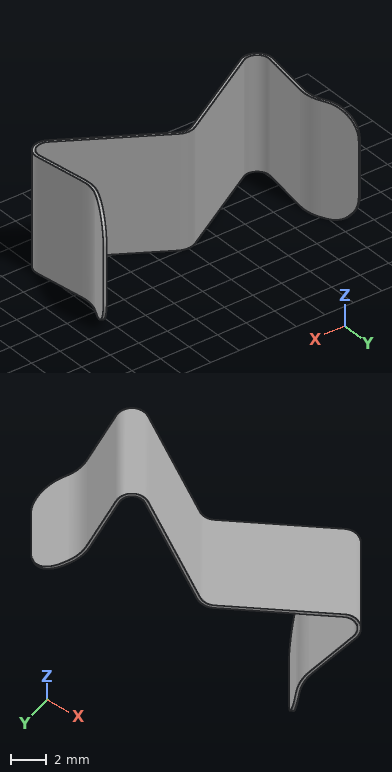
import cadquery as cq
import math

overall_width = 18
thickness = 0.2
height = 7.8
half_thickness = thickness / 2

peak_radius = 1.08
foot_radius = 0.9
shoulder_radius = 2.6

flank_slope = 30.9
upright_slope = 8.5
lip_slope = 26.1

flank_length = 7.29
upright_length = 3.53

peak_y = 4.14
lip_corner_radius = 2.0


def bend(radius, turn):
    return radius * math.radians(abs(turn)), turn


def advance(pose, length, turn):
    """Move a pose (x, y, heading) along a straight or a circular arc."""
    x, y, heading = pose
    angle = math.radians(turn)
    chord = length
    if turn:
        chord = 2 * length / angle * math.sin(angle / 2)
    direction = heading + angle / 2
    return x + chord * math.cos(direction), y + chord * math.sin(direction), heading + angle


peak_pose = (0, peak_y, math.pi)
centreline = [
    bend(peak_radius, flank_slope),
    (flank_length, 0),
    bend(foot_radius, -(flank_slope + 90 + upright_slope)),
    (upright_length, 0),
    bend(shoulder_radius, upright_slope + lip_slope),
]

lip_angle = math.radians(lip_slope)
lip_start = peak_pose
for segment in centreline:
    lip_start = advance(lip_start, *segment)
lip_reach = overall_width / 2 - half_thickness * math.cos(lip_angle) + lip_start[0]
centreline.append((lip_reach / math.sin(lip_angle), 0))


def face_point(pose, offset):
    """Point beside the centreline; positive offsets lie to the left of travel."""
    x, y, heading = pose
    return cq.Vector(x - offset * math.sin(heading), y + offset * math.cos(heading), 0)


def face_edges(offset):
    """Edges of one strip face, from the peak to the lip."""
    pose = peak_pose
    edges = []
    for length, turn in centreline:
        middle = advance(pose, length / 2, turn / 2)
        end = advance(pose, length, turn)
        points = [face_point(p, offset) for p in (pose, middle, end)]
        if turn:
            edges.append(cq.Edge.makeThreePointArc(*points))
        else:
            edges.append(cq.Edge.makeLine(points[0], points[2]))
        pose = end
    return edges


def half_clip():
    """Left half of the bent strip, with rounded lip corners."""
    under = face_edges(half_thickness)
    upper = face_edges(-half_thickness)
    peak_end = cq.Edge.makeLine(under[0].startPoint(), upper[0].startPoint())
    lip_end = cq.Edge.makeLine(under[-1].endPoint(), upper[-1].endPoint())
    outline = cq.Wire.assembleEdges(under + [lip_end] + upper[::-1] + [peak_end])
    strip = cq.Workplane("XY").add(outline).toPending().extrude(height)
    strip = strip.translate((0, 0, -height / 2))

    lip_direction = cq.Vector(-math.sin(lip_angle), math.cos(lip_angle), 0)
    lip_face = strip.faces(cq.selectors.DirectionMinMaxSelector(lip_direction, True))
    return lip_face.edges("not |Z").fillet(lip_corner_radius)


left_half = half_clip()
result = left_half.union(left_half.mirror("YZ")).clean()